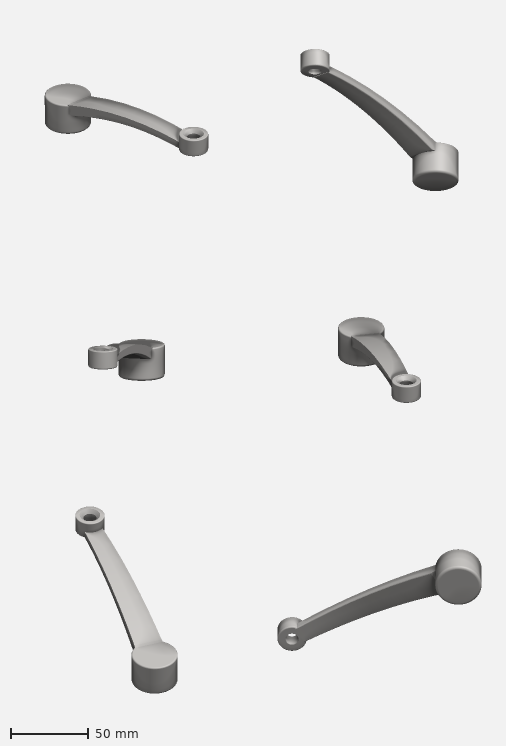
import cadquery as cq

total_length = 149.6
total_height = 45.0

hub_diameter = 30.0
hub_height = 21.7
hub_top_round = 1.0
hub_bottom_round = 1.8

eye_diameter = 19.0
eye_height = 12.0
eye_top_round = 0.6
eye_bottom_round = 0.9
bore_diameter = 8.5
countersink_diameter = 13.3
countersink_angle = 90
eye_x = total_length - hub_diameter / 2 - eye_diameter / 2
eye_bottom = total_height - eye_height

root_start_x = 10.5
root_end_x = 12.5
root_width = 19.1
root_bottom = 15.1
root_rise = 0.5
root_flat_end_x = 15.4
arm_start_width = 18.7
arm_end_width = 12.1
bore_clearance = 1.5
arm_end_x = eye_x - bore_diameter / 2 - bore_clearance
arm_top_mid = (64.3, 34.7)
arm_bottom_mid = (64.3, 28.9)
arm_end_top = 37.8
arm_end_bottom = 32.8
arm_bottom_round = 0.6


def make_hub():
    hub = cq.Workplane("XY").circle(hub_diameter / 2).extrude(hub_height)
    return hub.faces(">Z").edges().fillet(hub_top_round).faces("<Z").edges().fillet(hub_bottom_round)


def make_eye():
    eye = cq.Workplane("XY", origin=(eye_x, 0, eye_bottom)).circle(eye_diameter / 2).extrude(eye_height)
    eye = eye.faces(">Z").edges().fillet(eye_top_round).faces("<Z").edges().fillet(eye_bottom_round)
    return eye.faces(">Z").workplane().cskHole(bore_diameter, countersink_diameter, countersink_angle)


def make_arm():
    side = (
        cq.Workplane("XZ")
        .moveTo(root_start_x, root_bottom)
        .lineTo(root_start_x, hub_height)
        .lineTo(root_end_x, hub_height + root_rise)
        .threePointArc(arm_top_mid, (arm_end_x, arm_end_top))
        .lineTo(arm_end_x, arm_end_bottom)
        .threePointArc(arm_bottom_mid, (root_flat_end_x, root_bottom))
        .close()
        .extrude(root_width, both=True)
    )
    half_outline = [
        (root_start_x, root_width / 2),
        (root_end_x, arm_start_width / 2),
        (arm_end_x, arm_end_width / 2),
    ]
    mirrored_outline = [(x, -y) for x, y in reversed(half_outline)]
    outline = cq.Workplane("XY").polyline(half_outline + mirrored_outline).close().extrude(total_height)
    arm = side.intersect(outline)
    for side_sign in (-1, 1):
        edge_point = (arm_bottom_mid[0], side_sign * arm_start_width / 2, arm_bottom_mid[1])
        arm = arm.edges(cq.selectors.NearestToPointSelector(edge_point)).fillet(arm_bottom_round)
    return arm


result = make_hub().union(make_arm()).union(make_eye())